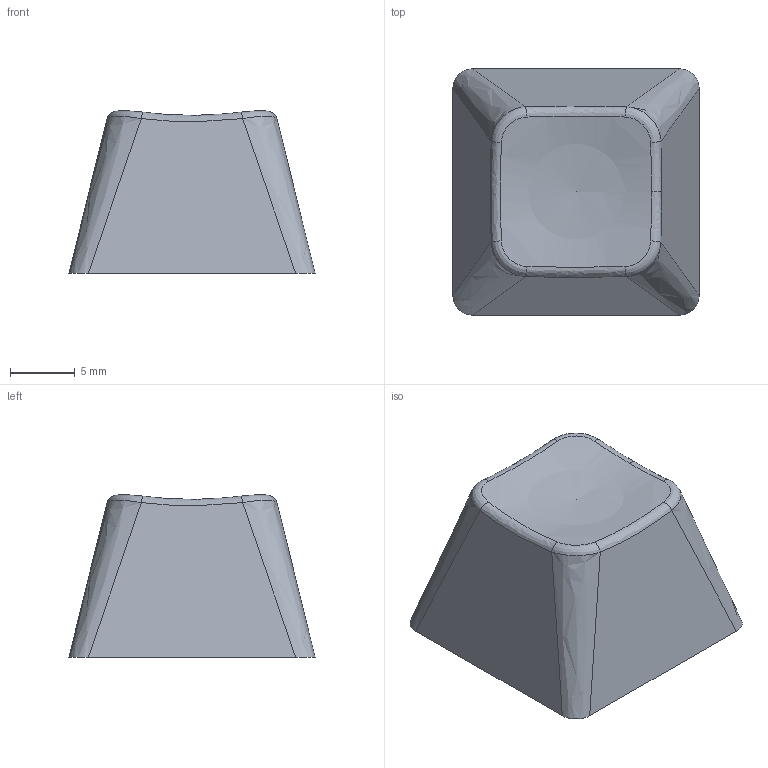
import cadquery as cq

base_width = 19.05
base_corner_radius = 1.5

blank_height = 13.0
top_width = 12.62
top_corner_radius = 2.75

dish_radius = 30.5
dish_floor_height = 11.67

rim_fillet_radius = 0.68


def rounded_square(width, corner_radius):
    """Rounded square sketch, centred on the Z axis."""
    return cq.Sketch().rect(width, width).vertices().fillet(corner_radius)


def tapered_blank():
    """Solid tapering in straight lines from the base to the smaller top."""
    base = rounded_square(base_width, base_corner_radius)
    top = rounded_square(top_width, top_corner_radius)
    raised_top = top.moved(cq.Location(cq.Vector(0, 0, blank_height)))
    return cq.Workplane("XY").placeSketch(base, raised_top).loft(ruled=True)


def dish():
    """Ball whose lowest point is the floor of the dish."""
    ball_centre = (0, 0, dish_floor_height + dish_radius)
    return cq.Workplane("XY", origin=ball_centre).sphere(dish_radius)


dished_cap = tapered_blank().cut(dish())

result = dished_cap.faces(">Z").edges().fillet(rim_fillet_radius)